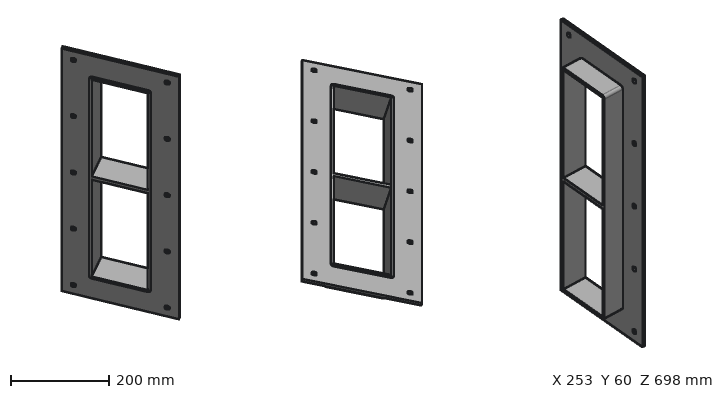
import cadquery as cq

plate_width = 253.0
plate_height = 698.0
plate_thickness = 7.0

frame_margin = 60.0
frame_width = plate_width - 2 * frame_margin
frame_height = plate_height - 2 * frame_margin
frame_depth = 60.0
frame_wall = 6.0
frame_corner_radius = 7.0
front_lip = 3.0
divider_thickness = 10.0

hole_diameter = 10.5
hole_edge_distance = 25.0
holes_per_column = 5


def block(width, depth, height, front):
    """Box centred in X and Z, running from Y = front towards +Y."""
    return cq.Workplane("XY").box(width, depth, height, centered=(True, False, True)).translate((0, front, 0))


plate = block(plate_width, plate_thickness, plate_height, front_lip)
frame = block(frame_width, frame_depth, frame_height, 0).edges("|Y").fillet(frame_corner_radius)

opening_width = frame_width - 2 * frame_wall
opening_height = frame_height - 2 * frame_wall
opening = block(opening_width, frame_depth, opening_height, 0)
divider = block(opening_width, frame_depth, divider_thickness, 0)
windows = opening.cut(divider)

hole_column_spacing = plate_width - 2 * hole_edge_distance
hole_pitch = (plate_height - 2 * hole_edge_distance) / (holes_per_column - 1)
holes = (
    cq.Workplane("XZ")
    .rarray(hole_column_spacing, hole_pitch, 2, holes_per_column)
    .circle(hole_diameter / 2)
    .extrude(-frame_depth)
)

result = plate.union(frame).cut(windows).cut(holes)